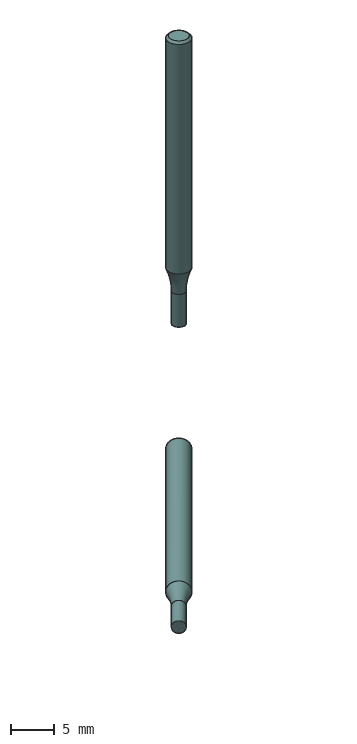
import cadquery as cq
import math

total_length = 38.0
shank_diameter = 3.0
shank_chamfer = 0.3

tip_diameter = 1.7
tip_length = 4.35
neck_length = 3.08

shank_radius = shank_diameter / 2
tip_radius = tip_diameter / 2
shank_bottom = tip_length + neck_length

neck_flare = shank_radius - tip_radius
neck_arc_radius = (neck_length**2 + neck_flare**2) / (2 * neck_flare)
neck_half_angle = math.asin(neck_length / neck_arc_radius) / 2
neck_arc_middle = (
    tip_radius + neck_arc_radius * (1 - math.cos(neck_half_angle)),
    tip_length + neck_arc_radius * math.sin(neck_half_angle),
)


def make_shank():
    """Chamfered round shank with its concave neck, revolved about Z."""
    return (
        cq.Workplane("XZ")
        .moveTo(0, tip_length)
        .lineTo(tip_radius, tip_length)
        .threePointArc(neck_arc_middle, (shank_radius, shank_bottom))
        .lineTo(shank_radius, total_length - shank_chamfer)
        .lineTo(shank_radius - shank_chamfer, total_length)
        .lineTo(0, total_length)
        .close()
        .revolve(360, (0, 0, 0), (0, 1, 0))
    )


def make_tip():
    """Plain round tip that meets the narrow end of the neck."""
    return cq.Workplane("XY").circle(tip_radius).extrude(tip_length)


shank = make_shank()
tip = make_tip()

result = cq.Compound.makeCompound([shank.val(), tip.val()])